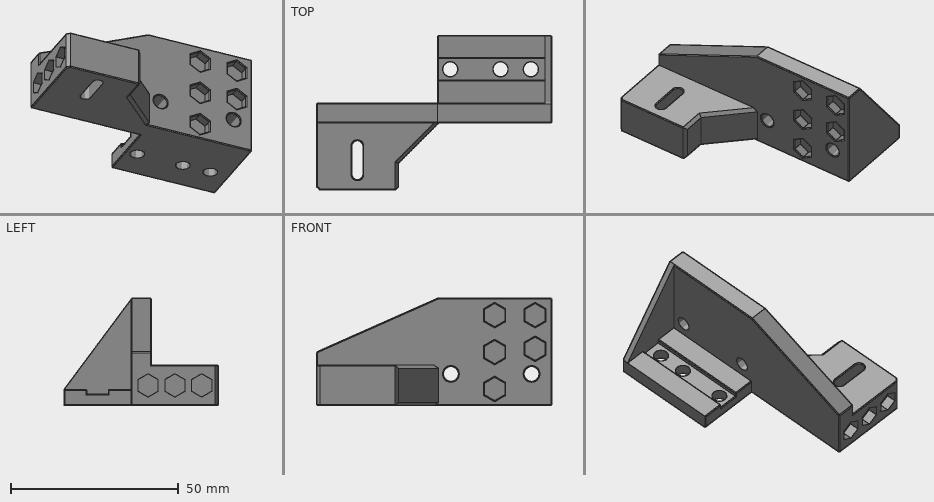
import cadquery as cq
import math

total_length = 70.0
total_depth = 46.0
total_height = 32.0

plate_thickness = 6.0
plate_left_height = 16.0
slope_end_x = 36.0

overhang = (total_depth - plate_thickness) / 2
arm_height = 12.05
arm_width = 24.35
arm_corner_y = -12.0
arm_end_x = arm_width - arm_corner_y
shelf_height = 4.8
rib_thickness = 2.0
overlap = plate_thickness / 2
back_y = plate_thickness + overhang

edge_break = 0.3
arm_bevel = 1.0

channel_width = 6.4
channel_depth = 1.3
channel_y = plate_thickness + overhang / 2
hole_diameter = 4.4
shelf_hole_xs = (39.75, 54.75, 63.8)

plate_hole_xs = (40.0, 64.0)
plate_hole_z = 9.45

hex_flats = 6.0
hex_corners = hex_flats / math.cos(math.radians(30))
hex_depth = 3.0
front_hex_centers = (
    (53.0, 5.0),
    (53.0, 15.95),
    (53.0, 26.95),
    (65.0, 16.95),
    (65.0, 26.95),
)
side_hex_first_y = 1.0
side_hex_pitch = 8.0
side_hex_count = 3
side_hex_z = 6.0

slot_width = 3.2
slot_length = 11.6
slot_x = 12.1
slot_y = -11.05


def make_plate():
    plate = (
        cq.Workplane("XZ")
        .moveTo(0, 0)
        .lineTo(total_length, 0)
        .lineTo(total_length, total_height)
        .lineTo(slope_end_x, total_height)
        .lineTo(0, plate_left_height)
        .close()
        .extrude(-plate_thickness)
    )
    return plate.faces("<X or >X or <Y or >Y").edges().chamfer(edge_break)


def edge_near(x, y, z):
    return cq.selectors.NearestToPointSelector((x, y, z))


def make_arm():
    arm = (
        cq.Workplane("XY")
        .moveTo(0, overlap)
        .lineTo(0, -overhang)
        .lineTo(arm_width, -overhang)
        .lineTo(arm_width, arm_corner_y)
        .lineTo(arm_end_x, 0)
        .lineTo(arm_end_x, overlap)
        .close()
        .extrude(arm_height)
    )
    arm = arm.edges("|Z and <Y").chamfer(arm_bevel)
    middle_x = (arm_width + arm_end_x) / 2
    flank_y = (arm_corner_y - overhang) / 2
    half_bevel = arm_bevel / 2
    for z in (0, arm_height):
        flank = edge_near(arm_width, flank_y, z)
        diagonal = edge_near(middle_x, arm_corner_y / 2, z)
        arm = arm.edges(flank + diagonal).chamfer(arm_bevel)
        left = edge_near(0, -overhang / 2, z)
        front = edge_near(arm_width / 2, -overhang, z)
        corner = edge_near(half_bevel, half_bevel - overhang, z)
        arm = arm.edges(left + front + corner).chamfer(edge_break)
    return arm


def make_shelf():
    length = total_length - rib_thickness - slope_end_x
    shelf = (
        cq.Workplane("XY")
        .box(length, overhang + overlap, shelf_height, centered=False)
        .translate((slope_end_x, overlap, 0))
    )
    channel = (
        cq.Workplane("XY")
        .box(length, channel_width, channel_depth, centered=(False, True, False))
        .translate((slope_end_x, channel_y, shelf_height - channel_depth))
    )
    shelf = shelf.cut(channel)
    channel_lips = cq.selectors.BoxSelector(
        (slope_end_x, channel_y - channel_width, shelf_height - edge_break),
        (total_length, channel_y + channel_width, shelf_height + edge_break),
    )
    shelf = shelf.edges("|X").edges(channel_lips).chamfer(edge_break)
    return shelf.faces("<X").edges().chamfer(edge_break)


def make_rib():
    rib = (
        cq.Workplane("YZ")
        .moveTo(overlap, 0)
        .lineTo(back_y, 0)
        .lineTo(back_y, shelf_height)
        .lineTo(plate_thickness, total_height - edge_break)
        .lineTo(overlap, total_height - edge_break)
        .close()
        .extrude(rib_thickness)
        .translate((total_length - rib_thickness, 0, 0))
    )
    return rib.faces(">X").edges().chamfer(edge_break)


def break_rim(body, center, width, axis):
    """Chamfer the mouth of an opening centred at `center` on a face square to `axis`."""
    half_width = width / 2 + edge_break
    half_sizes = [edge_break / 2 if name == axis else half_width for name in "XYZ"]
    low = [middle - half for middle, half in zip(center, half_sizes)]
    high = [middle + half for middle, half in zip(center, half_sizes)]
    rim = cq.selectors.BoxSelector(low, high, boundingbox=True)
    return body.edges(rim).chamfer(edge_break)


def cut_shelf_holes(body):
    holes = (
        cq.Workplane("XY")
        .pushPoints([(x, channel_y) for x in shelf_hole_xs])
        .circle(hole_diameter / 2)
        .extrude(shelf_height)
    )
    return body.cut(holes)


def cut_plate_holes(body):
    holes = (
        cq.Workplane("XZ")
        .pushPoints([(x, plate_hole_z) for x in plate_hole_xs])
        .circle(hole_diameter / 2)
        .extrude(-plate_thickness)
    )
    body = body.cut(holes)
    for x in plate_hole_xs:
        body = break_rim(body, (x, 0, plate_hole_z), hole_diameter, "Y")
    return body


def hex_pocket(plane_name, across, up, depth):
    """Hexagonal prism with one corner pointing straight up."""
    return (
        cq.Workplane(plane_name)
        .center(across, up)
        .transformed(rotate=(0, 0, 90))
        .polygon(6, hex_corners)
        .extrude(depth)
    )


def cut_front_pockets(body):
    for x, z in front_hex_centers:
        body = body.cut(hex_pocket("XZ", x, z, -hex_depth))
        body = break_rim(body, (x, 0, z), hex_corners, "Y")
    return body


def cut_side_pockets(body):
    for i in range(side_hex_count):
        y = side_hex_first_y - i * side_hex_pitch
        body = body.cut(hex_pocket("YZ", y, side_hex_z, hex_depth))
    return body


def cut_slot(body):
    slot = (
        cq.Workplane("XY")
        .center(slot_x, slot_y)
        .slot2D(slot_length, slot_width, 90)
        .extrude(arm_height)
    )
    return break_rim(body.cut(slot), (slot_x, slot_y, arm_height), slot_length, "Z")


result = make_plate().union(make_arm()).union(make_shelf()).union(make_rib())
result = cut_shelf_holes(result)
result = cut_plate_holes(result)
result = cut_front_pockets(result)
result = cut_side_pockets(result)
result = cut_slot(result)